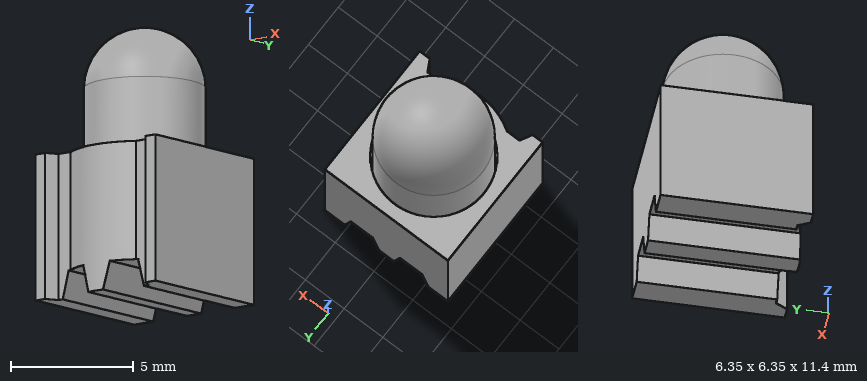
import cadquery as cq
import math

total_height = 11.43
housing_width = 6.35
housing_height = 6.1
lamp_diameter = 5.0
bore_diameter = 5.2
bore_floor = 2.29

recess_depth = 0.51
recess_mouth_width = 5.3
recess_floor_width = 4.75

channel_pitch = 2.54
channel_mouth_width = 1.76
channel_roof_width = 1.13
channel_height = 1.17

half_width = housing_width / 2
recess_y = recess_depth - half_width
bulge_half_width = math.sqrt(half_width**2 - recess_y**2)
lamp_radius = lamp_diameter / 2
dome_base = total_height - lamp_radius


def make_housing_block():
    """Square block with the recessed front face and its central bulge."""
    mouth = recess_mouth_width / 2
    floor = recess_floor_width / 2
    return (
        cq.Workplane("XY")
        .moveTo(-half_width, half_width)
        .lineTo(-half_width, -half_width)
        .lineTo(-mouth, -half_width)
        .lineTo(-floor, recess_y)
        .lineTo(-bulge_half_width, recess_y)
        .threePointArc((0, -half_width), (bulge_half_width, recess_y))
        .lineTo(floor, recess_y)
        .lineTo(mouth, -half_width)
        .lineTo(half_width, -half_width)
        .lineTo(half_width, half_width)
        .close()
        .extrude(housing_height)
    )


def make_channel(center_x):
    """Trapezoidal cutter running through the full depth of the housing."""
    mouth = channel_mouth_width / 2
    roof = channel_roof_width / 2
    return (
        cq.Workplane("XZ")
        .polyline([
            (center_x - mouth, 0),
            (center_x - roof, channel_height),
            (center_x + roof, channel_height),
            (center_x + mouth, 0),
        ])
        .close()
        .extrude(half_width, both=True)
    )


def make_housing():
    """Block with a blind lamp bore and two lead channels."""
    bore = (
        cq.Workplane("XY", origin=(0, 0, bore_floor))
        .circle(bore_diameter / 2)
        .extrude(housing_height - bore_floor)
    )
    body = make_housing_block().cut(bore)
    for side in (-1, 1):
        body = body.cut(make_channel(side * channel_pitch / 2))
    return body.solids()


def make_lamp():
    """Round lamp standing on the bore floor, with a hemispherical dome."""
    diagonal = lamp_radius * math.sqrt(0.5)
    return (
        cq.Workplane("XZ")
        .moveTo(0, bore_floor)
        .lineTo(lamp_radius, bore_floor)
        .lineTo(lamp_radius, dome_base)
        .threePointArc((diagonal, dome_base + diagonal), (0, total_height))
        .close()
        .revolve(360, (0, 0), (0, 1))
    )


housing = make_housing()
lamp = make_lamp()

result = cq.Compound.makeCompound([housing.val(), lamp.val()])